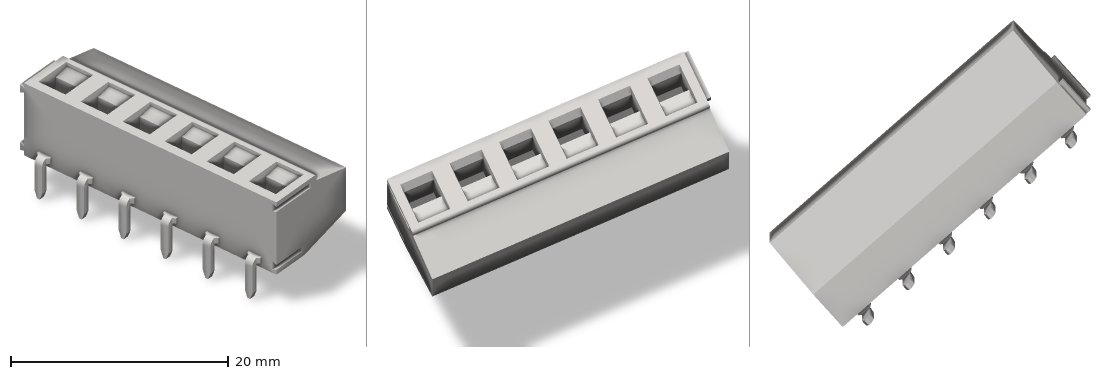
import cadquery as cq
import math

pole_count = 6
pole_pitch = 5.0
body_length = pole_count * pole_pitch
overall_length = 30.5
body_depth = 10.13
body_height = 8.15

back_face_bottom = 1.68
back_face_top = 6.55
underside_depth = 4.1
top_depth = 5.83
step_bottom = 7.47
step_radius = 0.3

tongue_reach = overall_length - body_length
tongue_width = 0.9
tongue_flare = 0.18
lower_tongue_z = 0.82
lower_tongue_length = 3.78
upper_tongue_z = 7.35
upper_tongue_length = 4.97

pocket_front = 1.0
pocket_back = 5.05
mouth_width = 3.23
shaft_width = 3.0
mouth_depth = 0.6
mouth_front_slope = 0.65
pocket_depth = 4.27
ledge_length = 1.68
ledge_back_depth = 0.5
ledge_front_depth = 0.73

pin_width = 0.9
pin_thickness = 0.6
pin_drop = 3.25
pin_top = 1.22
pin_bottom = pin_top - pin_thickness
bend_outer_radius = 0.73
bend_inner_radius = bend_outer_radius - pin_thickness
pin_tip_width = 0.3
pin_tip_length = 0.8
pin_root = 0.3
collar_width = 1.52
collar_straight = 0.25
collar_reach = 0.43


def housing():
    """Housing profile in the YZ plane, extruded along the row."""
    profile = (
        cq.Workplane("YZ")
        .moveTo(0, 0)
        .lineTo(underside_depth, 0)
        .lineTo(body_depth, back_face_bottom)
        .lineTo(body_depth, back_face_top)
        .lineTo(top_depth, step_bottom)
        .lineTo(top_depth, body_height - step_radius)
        .radiusArc((top_depth - step_radius, body_height), -step_radius)
        .lineTo(0, body_height)
        .close()
    )
    return profile.extrude(body_length)


def dovetail(x_root, z_center, length):
    """Dovetail bar that widens toward -X, running back from the front face."""
    half_tip = tongue_width / 2
    half_root = half_tip - tongue_flare
    x_tip = x_root - tongue_reach
    corners = [
        (x_root, z_center - half_root),
        (x_root, z_center + half_root),
        (x_tip, z_center + half_tip),
        (x_tip, z_center - half_tip),
    ]
    return cq.Workplane("XZ").polyline(corners).close().extrude(-length)


def pocket(x_center):
    """Volume removed for one pocket."""
    shaft_front = pocket_front + mouth_front_slope
    ledge_front = pocket_back - ledge_length
    mouth_bottom = body_height - mouth_depth
    pocket_bottom = body_height - pocket_depth
    profile = [
        (pocket_front, body_height),
        (shaft_front, mouth_bottom),
        (shaft_front, pocket_bottom),
        (ledge_front, pocket_bottom),
        (ledge_front, body_height - ledge_front_depth),
        (pocket_back, body_height - ledge_back_depth),
        (pocket_back, body_height),
    ]
    side_cut = (
        cq.Workplane("YZ", origin=(x_center, 0, 0))
        .polyline(profile)
        .close()
        .extrude(mouth_width / 2, both=True)
    )
    half_mouth = mouth_width / 2
    half_shaft = shaft_width / 2
    width_limits = [
        (x_center - half_mouth, body_height),
        (x_center - half_shaft, mouth_bottom),
        (x_center - half_shaft, pocket_bottom),
        (x_center + half_shaft, pocket_bottom),
        (x_center + half_shaft, mouth_bottom),
        (x_center + half_mouth, body_height),
    ]
    front_cut = cq.Workplane("XZ").polyline(width_limits).close().extrude(-body_depth)
    return side_cut.intersect(front_cut)


def pin(x_center):
    """Strip that leaves the front face, bends down and ends in a tapered tip."""
    bend_y = -collar_straight
    bend_z = pin_top - bend_outer_radius
    front_y = bend_y - bend_outer_radius
    rear_y = bend_y - bend_inner_radius
    diagonal = math.sqrt(0.5)
    outer_middle = (bend_y - bend_outer_radius * diagonal, bend_z + bend_outer_radius * diagonal)
    inner_middle = (bend_y - bend_inner_radius * diagonal, bend_z + bend_inner_radius * diagonal)
    bent_strip = (
        cq.Workplane("YZ", origin=(x_center, 0, 0))
        .moveTo(pin_root, pin_top)
        .lineTo(bend_y, pin_top)
        .threePointArc(outer_middle, (front_y, bend_z))
        .lineTo(front_y, -pin_drop)
        .lineTo(rear_y, -pin_drop)
        .lineTo(rear_y, bend_z)
        .threePointArc(inner_middle, (bend_y, pin_bottom))
        .lineTo(pin_root, pin_bottom)
        .close()
        .extrude(collar_width / 2, both=True)
    )
    half_pin = pin_width / 2
    half_tip = pin_tip_width / 2
    tip_start = pin_tip_length - pin_drop
    leg_outline = [
        (x_center - half_pin, pin_top),
        (x_center - half_pin, tip_start),
        (x_center - half_tip, -pin_drop),
        (x_center + half_tip, -pin_drop),
        (x_center + half_pin, tip_start),
        (x_center + half_pin, pin_top),
    ]
    leg_limit = (
        cq.Workplane("XZ", origin=(0, pin_root, 0))
        .polyline(leg_outline)
        .close()
        .extrude(pin_root - front_y)
    )
    half_collar = collar_width / 2
    collar_outline = [
        (x_center - half_collar, pin_root),
        (x_center - half_collar, -collar_straight),
        (x_center - half_pin, -collar_reach),
        (x_center + half_pin, -collar_reach),
        (x_center + half_collar, -collar_straight),
        (x_center + half_collar, pin_root),
    ]
    collar_limit = (
        cq.Workplane("XY", origin=(0, 0, pin_bottom))
        .polyline(collar_outline)
        .close()
        .extrude(pin_thickness)
    )
    return bent_strip.intersect(leg_limit.union(collar_limit))


result = housing()

for tongue_z, tongue_length in (
    (lower_tongue_z, lower_tongue_length),
    (upper_tongue_z, upper_tongue_length),
):
    result = result.union(dovetail(0, tongue_z, tongue_length))
    result = result.cut(dovetail(body_length, tongue_z, tongue_length))

for pole in range(pole_count):
    pole_x = (pole + 0.5) * pole_pitch
    result = result.cut(pocket(pole_x))
    result = result.union(pin(pole_x))